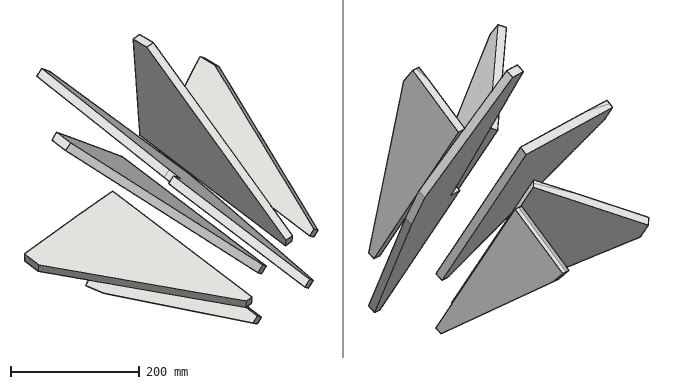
import cadquery as cq
import math

DIP = 9.5
ROLL = 4.5
PITCH = 45.0
INNER_RADIUS = 75.0
THICKNESS = 15.0
AXIS_LENGTH = 306.0
NOSE_WIDTH = 13.0
KNEE_X = 30.0
TRIM_SIZE = 1285.0

LARGE_KNEE_RADIUS = 274.0
UPPER_LARGE_KNEE_RADIUS = 271.0
SMALL_KNEE_RADIUS = 195.0
UPPER_SMALL_KNEE_RADIUS = 199.0

ROOT_AT_TRIM = 0.0
ROOT_INNER_OVERRUN = -4.0
ROOT_OUTER_OVERRUN = -3.0

LEVEL_TOP_TIP = math.tan(math.radians(DIP))
PARALLEL_TIP = 0.0
RISING_TIP = 0.1
FALLING_TIP = -0.22

TAILED_KNEE_RADIUS = 166.0
TAIL_ROOT_RADIUS = 95.0
TAIL_BEND_X = -25.0
TAIL_BEND_RADIUS = 97.0
TAIL_END_X = -325.0
TAIL_END_INNER_RADIUS = 132.0
TAIL_END_OUTER_RADIUS = 156.0
TAIL_TIP_X = -45.5
TAIL_TIP_RADIUS = 182.5

dip = math.radians(DIP)
AXIS = cq.Vector(math.cos(dip), 0, -math.sin(dip))
ACROSS = cq.Vector(0, -1, 0)
ABOVE = cq.Vector(math.sin(dip), 0, math.cos(dip))


def station_angle(station):
    """Angle of a fin about the axis, from -Y towards +Z, in radians."""
    return math.radians(station * PITCH - ROLL)


def axial(x, radius, station):
    """Distance along the axis of the mid-plane point of a fin at the given X and radius."""
    return (x - radius * math.sin(station_angle(station)) * math.sin(dip)) / math.cos(dip)


def plate(outline, station):
    """Plate of even thickness from (axial, radial) points, centred on the plane of its station."""
    angle = station_angle(station)
    radial = ACROSS * math.cos(angle) + ABOVE * math.sin(angle)
    plane = cq.Plane(origin=(0, 0, 0), xDir=AXIS, normal=AXIS.cross(radial))
    return cq.Workplane(plane).polyline(outline).close().extrude(THICKNESS / 2, both=True)


def tip_root_radius(station, knee_radius, tip_slope, root_x):
    """Radius at which the line of the tip, drawn back from the knee, reaches the given X."""
    knee = axial(KNEE_X, knee_radius, station)
    axial_at_centre = axial(root_x, 0, station)
    axial_per_radius = -math.sin(station_angle(station)) * math.tan(dip)
    return (knee_radius + tip_slope * (axial_at_centre - knee)) / (1 - tip_slope * axial_per_radius)


def fin(station, knee_radius, tip_slope, root_inner_x, root_outer_x):
    """Fin with a straight inner edge, tapering to the nose and trimmed flat at X = 0."""
    knee = axial(KNEE_X, knee_radius, station)
    root_radius = tip_root_radius(station, knee_radius, tip_slope, root_outer_x)
    outline = [
        (axial(root_inner_x, INNER_RADIUS, station), INNER_RADIUS),
        (AXIS_LENGTH, INNER_RADIUS),
        (AXIS_LENGTH, INNER_RADIUS + NOSE_WIDTH),
        (knee, knee_radius),
        (axial(root_outer_x, root_radius, station), root_radius),
    ]
    front_half = cq.Workplane("XY").box(TRIM_SIZE, TRIM_SIZE, TRIM_SIZE).translate((TRIM_SIZE / 2, 0, 0))
    return plate(outline, station).intersect(front_half)


def tailed_fin(station):
    """Fin whose tail runs on behind X = 0, leaving a step at the inner edge."""
    corners = [
        (KNEE_X, TAILED_KNEE_RADIUS),
        (TAIL_TIP_X, TAIL_TIP_RADIUS),
        (TAIL_END_X, TAIL_END_OUTER_RADIUS),
        (TAIL_END_X, TAIL_END_INNER_RADIUS),
        (TAIL_BEND_X, TAIL_BEND_RADIUS),
        (0, TAIL_ROOT_RADIUS),
        (0, INNER_RADIUS),
    ]
    outline = [(axial(x, radius, station), radius) for x, radius in corners]
    outline += [
        (AXIS_LENGTH, INNER_RADIUS),
        (AXIS_LENGTH, INNER_RADIUS + NOSE_WIDTH),
    ]
    return plate(outline, station)


large_fins = [
    fin(0, LARGE_KNEE_RADIUS, PARALLEL_TIP, ROOT_AT_TRIM, ROOT_OUTER_OVERRUN),
    fin(1, UPPER_LARGE_KNEE_RADIUS, PARALLEL_TIP, ROOT_INNER_OVERRUN, ROOT_AT_TRIM),
    fin(2, LARGE_KNEE_RADIUS, LEVEL_TOP_TIP, ROOT_INNER_OVERRUN, ROOT_OUTER_OVERRUN),
]
small_fins = [
    fin(-1, SMALL_KNEE_RADIUS, FALLING_TIP, ROOT_AT_TRIM, ROOT_AT_TRIM),
    fin(3, UPPER_SMALL_KNEE_RADIUS, RISING_TIP, ROOT_INNER_OVERRUN, ROOT_AT_TRIM),
]
tail_fin = tailed_fin(5)

result = cq.Compound.makeCompound([body.val() for body in [*large_fins, *small_fins, tail_fin]])